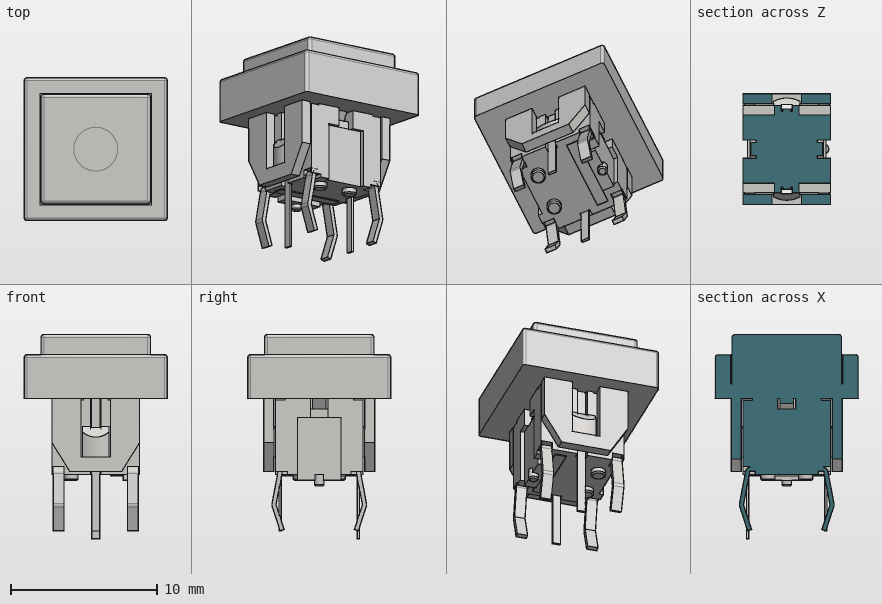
import cadquery as cq
import math


SIDES = (-1, 1)

BEZEL_SIZE = 9.8
BEZEL_BOTTOM = 5.2
BEZEL_TOP = 8.22
CAP_SIZE = 7.5
CAP_TOP = 9.6
CAP_GAP_SIZE = 7.65
CAP_GAP_DEPTH = 2.0
EDGE_RADIUS = 0.2
LENS_DIAMETER = 3.0
LENS_DEPTH = 0.5

BODY_SIZE = 6.0
BODY_HALF = BODY_SIZE / 2
TOP_NOTCH_HEIGHT = 0.1
TOP_NOTCH_INNER_X = 0.85
TOP_NOTCH_INNER_Y = 2.35
BOTTOM_NOTCH_HEIGHT = 0.2
BOTTOM_NOTCH_INNER = 2.16

RECESS_WIDTH = 3.0
RECESS_TOP = 3.92
RECESS_DEPTH = 0.3
LATCH_SLOT_WIDTH = 1.23
LATCH_SLOT_DEPTH = 0.5
LATCH_WINDOW_BOTTOM = 4.5
LATCH_WINDOW_DEPTH = 0.9
HOOK_WIDTH = 0.93
HOOK_DEPTH = 0.4

SKIRT_INNER_Y = 3.1
SKIRT_OUTER_Y = 3.8
SKIRT_BOTTOM = 0.2
SKIRT_BOTTOM_HALF_WIDTH = 1.77
SKIRT_SHOULDER_Z = 2.2
SKIRT_WINDOW_WIDTH = 2.0
SKIRT_WINDOW_BOTTOM = 1.2

BOSS_WIDTH = 1.8
BOSS_REACH = 0.5
BOSS_DIAMETER = 3.7
BOSS_TOP = 3.3
BOSS_FRONT_TOP = 2.57

PIN_WIDTH = 0.55
PIN_INNER_Y = 2.6
PIN_THICKNESS = 0.16
PIN_BOTTOMS = {-1: -3.85, 1: -4.4}
GROOVE_WIDTH = 0.74
GROOVE_OUTER_Y = 3.04

LEG_X = 2.54
LEG_WIDTH = 0.75
LEG_THICKNESS = 0.3
LEG_TOP = 0.54
LEG_ROOT_Y = 2.0
LEG_SHOULDER_Y = 2.85
LEG_SHOULDER_Z = 0.09
LEG_ELBOW_Y = 3.26
LEG_ELBOW_Z = -2.09
LEG_TIP_Y = 2.68
LEG_TIP_Z = -3.85
LEG_ELBOW_RADIUS = 0.5

FOOT_DIAMETER = 1.0
FOOT_HEIGHT = 0.4
FOOT_X = -1.7
FOOT_Y = 1.29
FOOT_CHAMFER = 0.1
BAR_INNER_X = 1.87
BAR_OUTER_X = 2.7
BAR_LENGTH = 3.0
POST_X = 2.54
POST_DIAMETER = 0.68
POST_BOTTOM = -0.78
POST_CHAMFER = 0.1
PAD_INNER_X = 1.0
PAD_OUTER_X = 1.8
PAD_LENGTH = 5.0
PAD_HEIGHT = 0.08


def block(x_a, x_b, y_a, y_b, z_a, z_b):
    """Box between two opposite corners, given in any order."""
    size = (abs(x_b - x_a), abs(y_b - y_a), abs(z_b - z_a))
    middle = ((x_a + x_b) / 2, (y_a + y_b) / 2, (z_a + z_b) / 2)
    return cq.Workplane("XY").box(*size).translate(middle)


def rounded_block(size, bottom, top):
    """Square block with rounded upright edges and a rounded top rim."""
    half = size / 2
    solid = block(-half, half, -half, half, bottom, top)
    return solid.edges("|Z or >Z").fillet(EDGE_RADIUS)


def extrude_x(points, x_middle, width):
    """Prism along X from an outline of (y, z) points."""
    outline = cq.Workplane("YZ", origin=(x_middle - width / 2, 0, 0)).polyline(points).close()
    return outline.extrude(width)


def bezel_and_cap():
    """Square bezel with a cap standing in it, a narrow gap all round."""
    gap_half = CAP_GAP_SIZE / 2
    gap_floor = BEZEL_TOP - CAP_GAP_DEPTH
    gap = block(-gap_half, gap_half, -gap_half, gap_half, gap_floor, BEZEL_TOP)
    bezel = rounded_block(BEZEL_SIZE, BEZEL_BOTTOM, BEZEL_TOP).cut(gap)
    return bezel.union(rounded_block(CAP_SIZE, gap_floor, CAP_TOP))


def body():
    """Square body with notched corners, leg slots, latch openings, snap bosses and pin grooves."""
    solid = block(-BODY_HALF, BODY_HALF, -BODY_HALF, BODY_HALF, 0, BEZEL_BOTTOM)
    for side_x in SIDES:
        face_x = side_x * BODY_HALF
        for side_y in SIDES:
            face_y = side_y * BODY_HALF
            top_notch = block(side_x * TOP_NOTCH_INNER_X, face_x, side_y * TOP_NOTCH_INNER_Y, face_y,
                              BEZEL_BOTTOM - TOP_NOTCH_HEIGHT, BEZEL_BOTTOM)
            bottom_notch = block(side_x * BOTTOM_NOTCH_INNER, face_x, side_y * BOTTOM_NOTCH_INNER, face_y,
                                 0, BOTTOM_NOTCH_HEIGHT)
            leg_slot = block(side_x * (LEG_X - LEG_WIDTH / 2), side_x * (LEG_X + LEG_WIDTH / 2),
                             side_y * BOTTOM_NOTCH_INNER, face_y, 0, LEG_TOP)
            solid = solid.cut(top_notch).cut(bottom_notch).cut(leg_slot)
    for side in SIDES:
        solid = solid.cut(latch_opening(side)).union(snap_boss(side)).cut(pin_groove(side))
    return solid


def latch_opening(side):
    """Shallow recess, deeper slot above it and the latch window on one X face."""
    face_x = side * BODY_HALF

    def pocket(width, depth, bottom, top):
        return block(face_x - side * depth, face_x, -width / 2, width / 2, bottom, top)

    recess = pocket(RECESS_WIDTH, RECESS_DEPTH, 0, RECESS_TOP)
    slot = pocket(LATCH_SLOT_WIDTH, LATCH_SLOT_DEPTH, RECESS_TOP, BEZEL_BOTTOM)
    window = pocket(LATCH_SLOT_WIDTH, LATCH_WINDOW_DEPTH, LATCH_WINDOW_BOTTOM, BEZEL_BOTTOM)
    return recess.union(slot).union(window)


def latch_hook(side):
    """Wedge under the bezel that fills part of the latch window."""
    back_x = side * (BODY_HALF - LATCH_WINDOW_DEPTH)
    front_x = back_x + side * HOOK_DEPTH
    points = [(back_x, BEZEL_BOTTOM), (front_x, BEZEL_BOTTOM), (back_x, LATCH_WINDOW_BOTTOM)]
    outline = cq.Workplane("XZ").polyline(points).close()
    return outline.extrude(HOOK_WIDTH / 2, both=True)


def skirt(side):
    """Tapered leg of the bezel with the window that catches the snap boss."""
    right_half = [
        (BODY_HALF, BEZEL_BOTTOM),
        (BODY_HALF, SKIRT_SHOULDER_Z),
        (SKIRT_BOTTOM_HALF_WIDTH, SKIRT_BOTTOM),
    ]
    left_half = [(-x, z) for x, z in reversed(right_half)]
    thickness = SKIRT_OUTER_Y - SKIRT_INNER_Y
    middle_y = side * (SKIRT_INNER_Y + SKIRT_OUTER_Y) / 2
    outline = cq.Workplane("XZ", origin=(0, middle_y, 0)).polyline(right_half + left_half).close()
    plate = outline.extrude(thickness / 2, both=True)
    window = block(-SKIRT_WINDOW_WIDTH / 2, SKIRT_WINDOW_WIDTH / 2, side * SKIRT_INNER_Y,
                   side * SKIRT_OUTER_Y, SKIRT_WINDOW_BOTTOM, BEZEL_BOTTOM)
    return plate.cut(window)


def snap_boss(side):
    """Boss with a sloping top and a cylindrical front."""
    front_y = BODY_HALF + BOSS_REACH
    profile = [
        (side * BODY_HALF, SKIRT_WINDOW_BOTTOM),
        (side * front_y, SKIRT_WINDOW_BOTTOM),
        (side * front_y, BOSS_FRONT_TOP),
        (side * BODY_HALF, BOSS_TOP),
    ]
    wedge = extrude_x(profile, 0, BOSS_WIDTH)
    radius = BOSS_DIAMETER / 2
    rounding = cq.Workplane("XY").center(0, side * (front_y - radius)).circle(radius).extrude(BEZEL_BOTTOM)
    return wedge.intersect(rounding)


def pin_groove(side):
    """Upright groove for a contact pin, cut slightly into the back of the snap boss."""
    half = GROOVE_WIDTH / 2
    return block(-half, half, side * PIN_INNER_Y, side * GROOVE_OUTER_Y, 0, BEZEL_BOTTOM)


def pin(side):
    """Flat contact pin against the floor of its groove."""
    inner_y = side * PIN_INNER_Y
    outer_y = inner_y + side * PIN_THICKNESS
    return block(-PIN_WIDTH / 2, PIN_WIDTH / 2, inner_y, outer_y, PIN_BOTTOMS[side], BEZEL_BOTTOM)


def leg():
    """Formed strip at +X, +Y: flat root, rounded shoulder, outward elbow, inward tip."""
    upper_lean = math.atan2(LEG_ELBOW_Y - LEG_SHOULDER_Y, LEG_SHOULDER_Z - LEG_ELBOW_Z)
    lower_lean = math.atan2(LEG_ELBOW_Y - LEG_TIP_Y, LEG_ELBOW_Z - LEG_TIP_Z)
    inner_shoulder = (LEG_SHOULDER_Y - LEG_THICKNESS / math.cos(upper_lean), LEG_SHOULDER_Z)
    elbow_offset = LEG_THICKNESS / math.cos((upper_lean + lower_lean) / 2)
    elbow_direction = (lower_lean - upper_lean) / 2
    inner_elbow = (
        LEG_ELBOW_Y - elbow_offset * math.cos(elbow_direction),
        LEG_ELBOW_Z + elbow_offset * math.sin(elbow_direction),
    )
    inner_tip = (
        LEG_TIP_Y - LEG_THICKNESS * math.cos(lower_lean),
        LEG_TIP_Z + LEG_THICKNESS * math.sin(lower_lean),
    )
    shoulder_radius = LEG_TOP - LEG_SHOULDER_Z
    shoulder_start_y = LEG_SHOULDER_Y - shoulder_radius
    diagonal = shoulder_radius * math.sqrt(0.5)
    shoulder_middle = (shoulder_start_y + diagonal, LEG_SHOULDER_Z + diagonal)
    strip = (
        cq.Workplane("YZ", origin=(LEG_X - LEG_WIDTH / 2, 0, 0))
        .moveTo(LEG_ROOT_Y, LEG_TOP)
        .lineTo(shoulder_start_y, LEG_TOP)
        .threePointArc(shoulder_middle, (LEG_SHOULDER_Y, LEG_SHOULDER_Z))
        .lineTo(LEG_ELBOW_Y, LEG_ELBOW_Z)
        .lineTo(LEG_TIP_Y, LEG_TIP_Z)
        .lineTo(*inner_tip)
        .lineTo(*inner_elbow)
        .lineTo(*inner_shoulder)
        .lineTo(inner_shoulder[0], LEG_TOP - LEG_THICKNESS)
        .lineTo(LEG_ROOT_Y, LEG_TOP - LEG_THICKNESS)
        .close()
        .extrude(LEG_WIDTH)
    )
    elbow_edge = cq.selectors.NearestToPointSelector((LEG_X, LEG_ELBOW_Y, LEG_ELBOW_Z))
    return strip.edges("|X").edges(elbow_edge).fillet(LEG_ELBOW_RADIUS)


def peg(x, y, diameter, bottom, chamfer):
    """Round peg hanging from the body, chamfered at its lower end."""
    cylinder = cq.Workplane("XY").center(x, y).circle(diameter / 2).extrude(bottom)
    return cylinder.faces("<Z").chamfer(chamfer)


def underside():
    """Support bar, thin pad, locating post and two feet below the body."""
    bar = block(BAR_INNER_X, BAR_OUTER_X, -BAR_LENGTH / 2, BAR_LENGTH / 2, -FOOT_HEIGHT, 0)
    pad = block(PAD_INNER_X, PAD_OUTER_X, -PAD_LENGTH / 2, PAD_LENGTH / 2, -PAD_HEIGHT, 0)
    solids = [bar, pad, peg(POST_X, 0, POST_DIAMETER, POST_BOTTOM, POST_CHAMFER)]
    for side in SIDES:
        solids.append(peg(FOOT_X, side * FOOT_Y, FOOT_DIAMETER, -FOOT_HEIGHT, FOOT_CHAMFER))
    return solids


def with_lens(switch):
    """Set a round lens flush into the cap, keeping its outline on the top face."""
    lens = cq.Workplane("XY", origin=(0, 0, CAP_TOP)).circle(LENS_DIAMETER / 2).extrude(-LENS_DEPTH)
    return switch.cut(lens).union(lens, clean=False)


switch = bezel_and_cap().union(body())
for side in SIDES:
    for feature in (latch_hook(side), skirt(side), pin(side)):
        switch = switch.union(feature)
for feature in underside():
    switch = switch.union(feature)

leg_pair = leg().union(leg().mirror("XZ"))
switch = switch.union(leg_pair).union(leg_pair.mirror("YZ"))

result = with_lens(switch).solids()